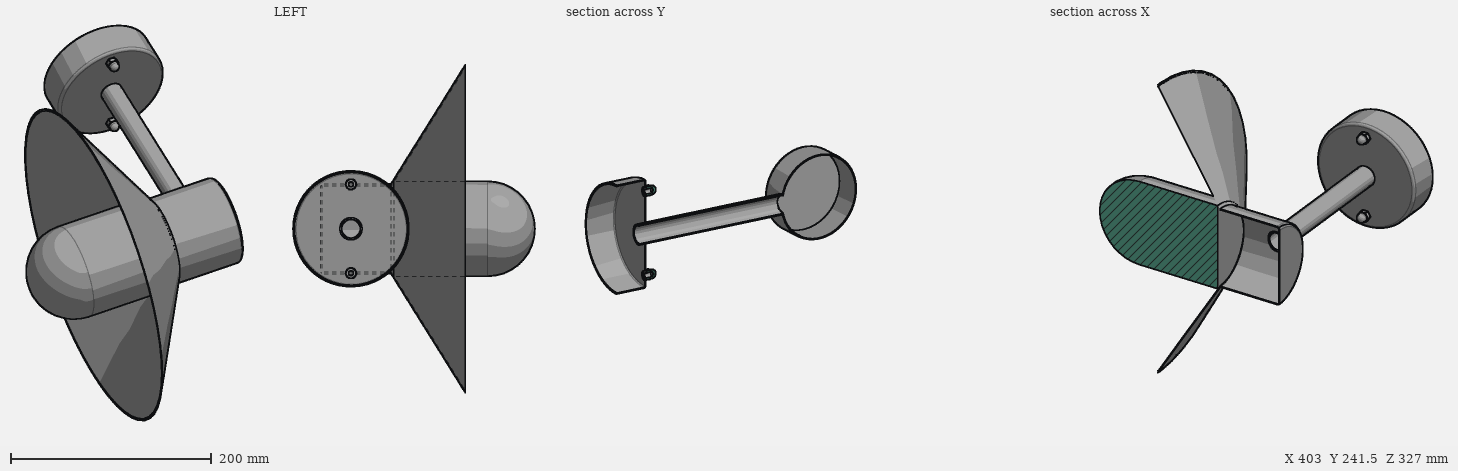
import cadquery as cq
import math


cup_radius = 115.5 / 2
cup_depth = 34.5
cup_wall = 1.5
cup_fillet = 3.0

arm_radius = 22.0 / 2
arm_bore_radius = 9.3
arm_stub = 6.5

nut_offset = 44.5
nut_flats = 10.5
nut_hex_height = 5.0
nut_height = 12.0
nut_dome_radius = 10.0 / 2
nut_bore_radius = 2.5
nut_bore_depth = 7.3
nut_drill_point = 1.2
nut_hole_radius = 10.0 / 2

shade_radius = 163.5
overall_length = 403.0
overall_width = 241.5
lamp_x = overall_length - shade_radius
head_radius = 44.7
head_top_y = 30.5
head_fillet = 3.2
neck_y = -40.0
rim_y = -114.0
sheet_rim_width = 2.0
head_wall = 1.5
glass_radius = 47.5
glass_bottom_y = cup_radius - overall_width
glass_dome_y = glass_bottom_y + glass_radius

shade_slope = (neck_y - rim_y) / (shade_radius - head_radius)
glass_top_y = neck_y - shade_slope * (glass_radius + sheet_rim_width - head_radius)


def disc_along_x(radius, start_x, end_x, z=0.0):
    """Cylinder parallel to X at y = 0, from start_x to end_x."""
    return (
        cq.Workplane("YZ", origin=(start_x, 0, z))
        .circle(radius)
        .extrude(end_x - start_x)
    )


def revolved_about_lamp_axis(profile):
    """Turn an XY profile, with x measured from the lamp axis, and move it into place."""
    return profile.revolve(360, (0, 0, 0), (0, 1, 0)).translate((lamp_x, 0, 0))


def make_cup():
    """Shallow cup of even wall with a rounded front edge, an arm hole and two nut holes."""
    floor_x = cup_depth - cup_wall
    cup = disc_along_x(cup_radius, 0, cup_depth).faces(">X").edges().fillet(cup_fillet)
    hollow = disc_along_x(cup_radius - cup_wall, 0, floor_x)
    hollow = hollow.faces(">X").edges().fillet(cup_fillet - cup_wall)
    cup = cup.cut(hollow)
    cup = cup.cut(disc_along_x(arm_radius, floor_x, cup_depth))
    for side in (-1, 1):
        cup = cup.cut(disc_along_x(nut_hole_radius, floor_x, cup_depth, side * nut_offset))
    return cup


def make_head():
    """Hollow cylindrical cap, closed and rounded at the top, with a side hole for the arm."""
    head = (
        cq.Workplane("XZ", origin=(lamp_x, head_top_y, 0))
        .circle(head_radius)
        .extrude(head_top_y - neck_y)
        .faces(">Y")
        .edges()
        .fillet(head_fillet)
    )
    cavity = (
        cq.Workplane("XZ", origin=(lamp_x, head_top_y - head_wall, 0))
        .circle(head_radius - head_wall)
        .extrude(head_top_y - head_wall - neck_y)
    )
    arm_hole = disc_along_x(arm_radius, lamp_x - head_radius, lamp_x)
    return head.cut(cavity).cut(arm_hole)


def make_arm():
    """Tube from the cup into the head wall, its far end shaped to the inside of the head."""
    start_x = cup_depth - cup_wall - arm_stub
    arm = disc_along_x(arm_radius, start_x, lamp_x)
    arm = arm.cut(disc_along_x(arm_bore_radius, start_x, lamp_x))
    head_inside = (
        cq.Workplane("XZ", origin=(lamp_x, head_top_y, 0))
        .circle(head_radius - head_wall)
        .extrude(head_top_y - neck_y)
    )
    return arm.cut(head_inside)


def make_shade():
    """Thin conical shade from the neck out to the rim."""
    profile = cq.Workplane("XY").polyline([
        (head_radius - sheet_rim_width, neck_y),
        (head_radius, neck_y),
        (shade_radius, rim_y),
        (shade_radius - sheet_rim_width, rim_y),
    ]).close()
    return revolved_about_lamp_axis(profile)


def make_glass():
    """Round-ended glass whose flat top meets the inner face of the shade."""
    arc_reach = glass_radius * math.sqrt(0.5)
    profile = (
        cq.Workplane("XY")
        .moveTo(0, glass_top_y)
        .lineTo(glass_radius, glass_top_y)
        .lineTo(glass_radius, glass_dome_y)
        .threePointArc((arc_reach, glass_dome_y - arc_reach), (0, glass_bottom_y))
        .close()
    )
    return revolved_about_lamp_axis(profile)


def make_cap_nut(z):
    """Domed hexagon nut seated on the cup face, with a blind drilled hole."""
    hexagon = (
        cq.Workplane("YZ", origin=(cup_depth, 0, z))
        .polygon(6, nut_flats / math.cos(math.pi / 6))
        .extrude(nut_hex_height)
    )
    dome_start = nut_height - nut_dome_radius
    arc_reach = nut_dome_radius * math.sqrt(0.5)
    dome = (
        cq.Workplane("XY")
        .lineTo(0, nut_dome_radius)
        .lineTo(dome_start, nut_dome_radius)
        .threePointArc((dome_start + arc_reach, arc_reach), (nut_height, 0))
        .close()
        .revolve(360, (0, 0, 0), (1, 0, 0))
    )
    bore = (
        cq.Workplane("XY")
        .lineTo(0, nut_bore_radius)
        .lineTo(nut_bore_depth, nut_bore_radius)
        .lineTo(nut_bore_depth + nut_drill_point, 0)
        .close()
        .revolve(360, (0, 0, 0), (1, 0, 0))
    )
    seat = (cup_depth, 0, z)
    return hexagon.union(dome.translate(seat)).cut(bore.translate(seat))


cup = make_cup()
arm = make_arm()
head = make_head()
shade = make_shade()
glass = make_glass()
cap_nuts = [make_cap_nut(side * nut_offset) for side in (-1, 1)]

result = cq.Compound.makeCompound([
    cup.val(),
    arm.val(),
    head.val(),
    shade.val(),
    glass.val(),
    *[nut.val() for nut in cap_nuts],
])